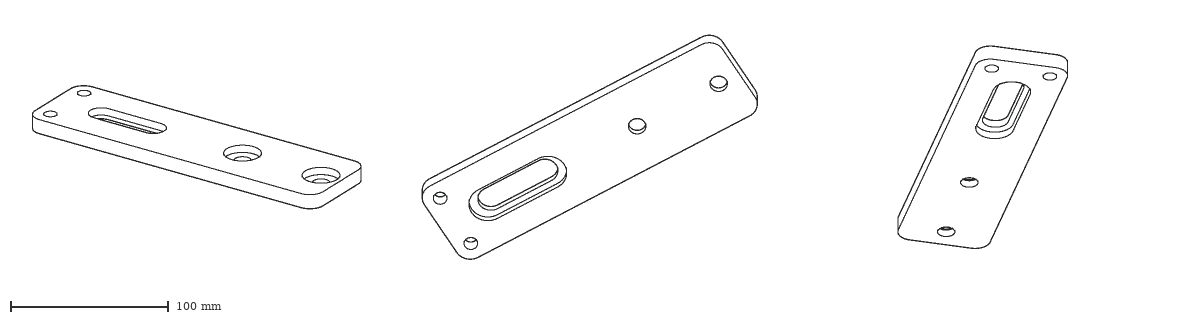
import cadquery as cq

length = 220.0
width = 60.0
thickness = 10.0
corner_radius = 10.0

small_hole_diameter = 8.5
small_hole_x = -99.0
small_hole_spacing = 38.0

slot_length = 56.3
slot_width = 16.5
slot_x = -53.0

recess_width = 24.0
recess_length = 68.2
recess_depth = 4.8

bore_diameter = 11.0
counterbore_diameter = 24.0
counterbore_depth = 5.0
counterbore_positions = [(35.0, 0), (95.0, 0)]

plate = (
    cq.Workplane("XY")
    .box(length, width, thickness)
    .edges("|Z")
    .fillet(corner_radius)
)

with_small_holes = (
    plate.faces(">Z")
    .workplane(origin=(0, 0, 0))
    .pushPoints([(small_hole_x, side * small_hole_spacing / 2) for side in (-1, 1)])
    .hole(small_hole_diameter)
)

with_slot = (
    with_small_holes.faces(">Z")
    .workplane(origin=(0, 0, 0))
    .center(slot_x, 0)
    .slot2D(slot_length, slot_width)
    .cutThruAll()
)

with_recess = (
    with_slot.faces("<Z")
    .workplane(origin=(0, 0, 0))
    .center(slot_x, 0)
    .slot2D(recess_length, recess_width)
    .cutBlind(-recess_depth)
)

result = (
    with_recess.faces(">Z")
    .workplane(origin=(0, 0, 0))
    .pushPoints(counterbore_positions)
    .cboreHole(bore_diameter, counterbore_diameter, counterbore_depth)
)